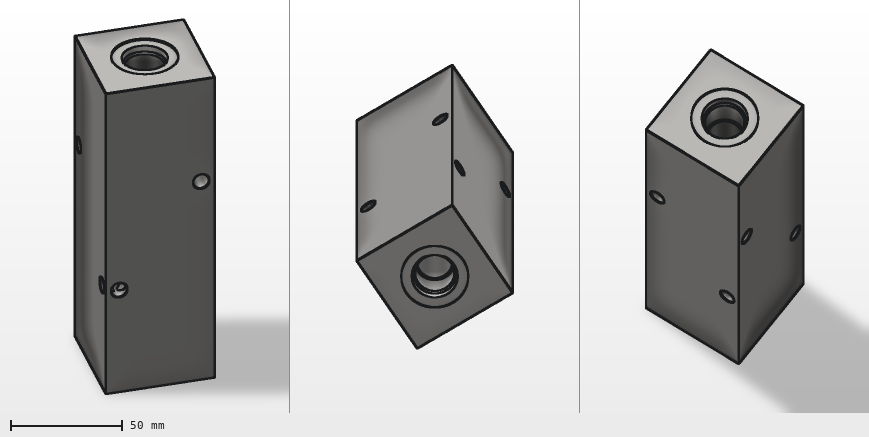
import cadquery as cq
import math

width = 50.8
height = 158.8
edge_chamfer = 0.25
top = height / 2

bore_diameter = 15.9
spotface_diameter = 30.0
spotface_depth = 0.8
mouth_diameter = 20.6
seat_diameter = 19.2
seat_depth = 2.7
thread_diameter = 17.5
thread_depth = 15.9
drill_point_angle = 118.0

cross_hole_diameter = 7.1
cross_hole_rim_diameter = 7.8
cross_hole_offset = 19.0
cross_hole_rise = 25.4


def make_port_cutter():
    """Upper port: spotface, tapered seat, 45 degree lead-in and drilled thread bore."""
    floor = top - spotface_depth
    seat_end = floor - seat_depth
    lead_in_end = seat_end - (seat_diameter - thread_diameter) / 2
    thread_end = floor - thread_depth
    drill_tip = thread_end - thread_diameter / 2 / math.tan(math.radians(drill_point_angle / 2))
    return (
        cq.Workplane("XZ")
        .moveTo(0, top)
        .lineTo(spotface_diameter / 2, top)
        .lineTo(spotface_diameter / 2, floor)
        .lineTo(mouth_diameter / 2, floor)
        .lineTo(seat_diameter / 2, seat_end)
        .lineTo(thread_diameter / 2, lead_in_end)
        .lineTo(thread_diameter / 2, thread_end)
        .lineTo(0, drill_tip)
        .close()
        .revolve(360, (0, 0), (0, 1))
    )


def make_cross_hole_cutter():
    """Through hole along Z, widened by a 45 degree rim at both ends."""
    rim = (cross_hole_rim_diameter - cross_hole_diameter) / 2
    half = width / 2
    return (
        cq.Workplane("XZ")
        .moveTo(0, half)
        .lineTo(cross_hole_rim_diameter / 2, half)
        .lineTo(cross_hole_diameter / 2, half - rim)
        .lineTo(cross_hole_diameter / 2, rim - half)
        .lineTo(cross_hole_rim_diameter / 2, -half)
        .lineTo(0, -half)
        .close()
        .revolve(360, (0, 0), (0, 1))
    )


block = cq.Workplane("XY").box(width, width, height).edges().chamfer(edge_chamfer)

bore = cq.Workplane("XY").circle(bore_diameter / 2).extrude(top, both=True)
upper_port = make_port_cutter()
result = block.cut(bore).cut(upper_port).cut(upper_port.mirror("XY"))

cross_hole = make_cross_hole_cutter()
hole_along_y = cross_hole.rotate((0, 0, 0), (1, 0, 0), 90)
hole_along_x = cross_hole.rotate((0, 0, 0), (0, 1, 0), 90)
for side in (1, -1):
    offset = side * cross_hole_offset
    rise = side * cross_hole_rise
    result = result.cut(hole_along_y.translate((-offset, 0, rise)))
    result = result.cut(hole_along_x.translate((0, offset, rise)))